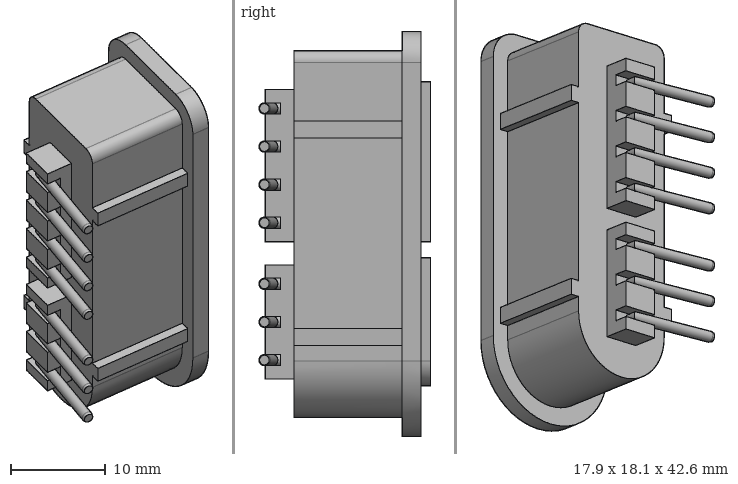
import cadquery as cq
import math


FLANGE_WIDTH = 15.95
TOTAL_HEIGHT = 42.65
FLANGE_THICKNESS = 2.0
FLANGE_CORNER_RADIUS = 3.25
FLANGE_MARGIN = 2.0
BODY_DEPTH = 11.4
FLANGE_TOP = TOTAL_HEIGHT - FLANGE_WIDTH / 2

RIB_HEIGHT = 1.8
RIB_PROJECTION = 1.02
RIB_CENTERS_Z = (24.35, 2.5)

PAD_WIDTH = 5.3
PAD_THICKNESS = 1.0
UPPER_PAD_BOTTOM = 12.55
UPPER_PAD_TOP = 29.4
LOWER_PAD_TOP = 10.88

BLOCKS = ((4, 28.58), (3, 10.1))
PIN_PITCH = 4.0
BLOCK_WIDTH = 4.0
BLOCK_DEPTH = 3.03
SLOT_DEPTH = 1.6

PIN_DIAMETER = 1.2
PIN_ANGLE = 5.0
PIN_TIP_X = 9.95
PIN_TIP_Y = -15.1
PIN_TIP_CHAMFER_LENGTH = 0.3
PIN_TIP_CHAMFER_INSET = 0.1

BODY_FRONT = -BODY_DEPTH
BLOCK_FRONT = BODY_FRONT - BLOCK_DEPTH
SLOT_FLOOR = BLOCK_FRONT + SLOT_DEPTH


def box(x_range, y_range, z_range):
    """Axis-aligned box between the given limits."""
    lows, highs = zip(x_range, y_range, z_range)
    size = [high - low for low, high in zip(lows, highs)]
    return cq.Workplane("XY").box(*size, centered=False).translate(lows)


def round_ended_plate(width, top, y_front, y_rear):
    """Plate with a square top and a full-radius lower end centred on the origin."""
    half = width / 2
    return (
        cq.Workplane("XZ", origin=(0, y_rear, 0))
        .moveTo(-half, top)
        .lineTo(half, top)
        .lineTo(half, 0)
        .threePointArc((0, -half), (-half, 0))
        .close()
        .extrude(y_rear - y_front)
    )


def round_top_corners(plate, radius):
    return plate.faces(">Z").edges("|Y").fillet(radius)


def make_shell():
    """Flange, body, side ribs and rear pads."""
    body_width = FLANGE_WIDTH - 2 * FLANGE_MARGIN
    flange = round_ended_plate(FLANGE_WIDTH, FLANGE_TOP, 0, FLANGE_THICKNESS)
    flange = round_top_corners(flange, FLANGE_CORNER_RADIUS)
    body = round_ended_plate(body_width, FLANGE_TOP - FLANGE_MARGIN, BODY_FRONT, 0)
    body = round_top_corners(body, FLANGE_CORNER_RADIUS - FLANGE_MARGIN)
    shell = flange.union(body)

    rib_reach = body_width / 2 + RIB_PROJECTION
    for center in RIB_CENTERS_Z:
        rib_span = (center - RIB_HEIGHT / 2, center + RIB_HEIGHT / 2)
        shell = shell.union(box((-rib_reach, rib_reach), (BODY_FRONT, 0), rib_span))

    pad_rear = FLANGE_THICKNESS + PAD_THICKNESS
    upper_pad = box(
        (-PAD_WIDTH / 2, PAD_WIDTH / 2),
        (FLANGE_THICKNESS, pad_rear),
        (UPPER_PAD_BOTTOM, UPPER_PAD_TOP),
    )
    lower_pad = round_ended_plate(PAD_WIDTH, LOWER_PAD_TOP, FLANGE_THICKNESS, pad_rear)
    return shell.union(upper_pad).union(lower_pad)


def make_block(pin_heights, top):
    """Terminal block with one cross slot per pin."""
    half = BLOCK_WIDTH / 2
    bottom = top - len(pin_heights) * PIN_PITCH
    block = box((-half, half), (BLOCK_FRONT, BODY_FRONT), (bottom, top))
    for z in pin_heights:
        slot_span = (z - PIN_DIAMETER / 2, z + PIN_DIAMETER / 2)
        block = block.cut(box((-half, half), (BLOCK_FRONT, SLOT_FLOOR), slot_span))
    return block


def make_pin():
    """Pin at Z = 0: a leg along Y inside the block, mitred to a tilted outer leg."""
    radius = PIN_DIAMETER / 2
    tilt = math.radians(PIN_ANGLE)
    edge_radius = radius - PIN_TIP_CHAMFER_INSET
    tip_x = PIN_TIP_X - edge_radius * math.sin(tilt)
    tip_y = PIN_TIP_Y + radius * math.cos(tilt)
    bend_y = tip_y + tip_x * math.tan(tilt)
    path = cq.Workplane("XY").moveTo(0, BODY_FRONT).lineTo(0, bend_y).lineTo(tip_x, tip_y)
    pin = (
        cq.Workplane("XZ", origin=(0, BODY_FRONT, 0))
        .circle(radius)
        .sweep(path, transition="right")
    )
    return pin.faces(">X").chamfer(PIN_TIP_CHAMFER_LENGTH, PIN_TIP_CHAMFER_INSET)


result = make_shell()
pin = make_pin()
for pin_count, block_top in BLOCKS:
    pin_heights = [block_top - PIN_PITCH * (i + 0.5) for i in range(pin_count)]
    result = result.union(make_block(pin_heights, block_top))
    for pin_z in pin_heights:
        result = result.union(pin.translate((0, 0, pin_z)))